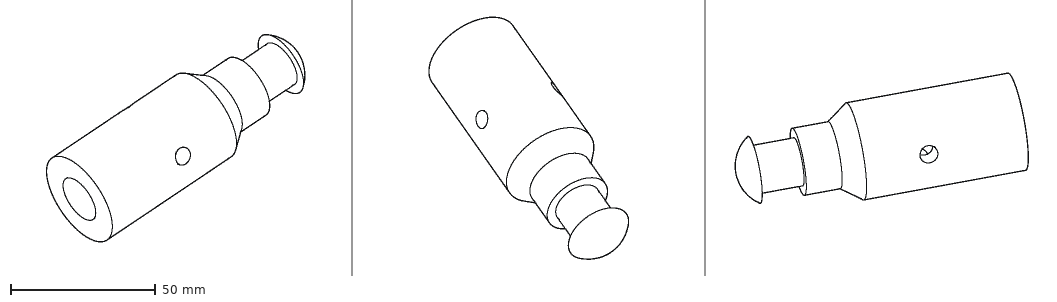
import cadquery as cq

total_length = 100.0
body_diameter = 34.3
collar_diameter = 23.7
neck_diameter = 17.0
bore_diameter = 17.0
cross_hole_diameter = 6.3

body_end = 57.7
shoulder_end = 65.1
collar_end = 77.9
neck_end = 93.6

bore_depth = body_end
bore_dome_height = 2.9
cross_hole_position = 34.9
cross_hole_angles = (30, 150, 270)

body_radius = body_diameter / 2
collar_radius = collar_diameter / 2
neck_radius = neck_diameter / 2
bore_radius = bore_diameter / 2


def dome_mid_point(rim_radius, height):
    """Radius and height of a point halfway along a spherical cap's profile."""
    sphere_radius = (rim_radius**2 + height**2) / (2 * height)
    mid_radius = rim_radius / 2
    drop = sphere_radius - (sphere_radius**2 - mid_radius**2) ** 0.5
    return mid_radius, height - drop


def make_outside():
    """Body, conical shoulder, collar, neck and domed head."""
    mid_radius, mid_height = dome_mid_point(collar_radius, total_length - neck_end)
    profile = (
        cq.Workplane("XY")
        .lineTo(body_radius, 0)
        .lineTo(body_radius, body_end)
        .lineTo(collar_radius, shoulder_end)
        .lineTo(collar_radius, collar_end)
        .lineTo(neck_radius, collar_end)
        .lineTo(neck_radius, neck_end)
        .lineTo(collar_radius, neck_end)
        .threePointArc((mid_radius, neck_end + mid_height), (0, total_length))
        .close()
    )
    return profile.revolve(360, (0, 0), (0, 1))


def make_bore():
    """Blind bore whose floor bulges toward the open end."""
    mid_radius, mid_height = dome_mid_point(bore_radius, bore_dome_height)
    profile = (
        cq.Workplane("XY")
        .lineTo(bore_radius, 0)
        .lineTo(bore_radius, bore_depth)
        .threePointArc((mid_radius, bore_depth - mid_height), (0, bore_depth - bore_dome_height))
        .close()
    )
    return profile.revolve(360, (0, 0), (0, 1))


def make_cross_hole(angle):
    """Radial hole from the axis out through the wall, angle measured from +X toward +Z."""
    hole = (
        cq.Workplane("YZ")
        .center(cross_hole_position, 0)
        .circle(cross_hole_diameter / 2)
        .extrude(body_diameter)
    )
    return hole.rotate((0, 0, 0), (0, 1, 0), -angle)


result = make_outside().cut(make_bore())
for hole_angle in cross_hole_angles:
    result = result.cut(make_cross_hole(hole_angle))